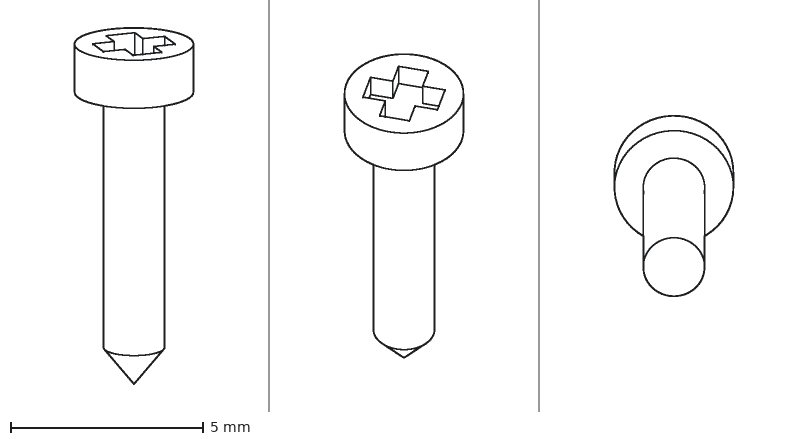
import cadquery as cq

TOTAL_LENGTH = 9.2
HEAD_DIAMETER = 3.1
HEAD_HEIGHT = 1.3
SHANK_DIAMETER = 1.6
TIP_LENGTH = 1.0

RECESS_SPAN = 2.0
RECESS_ARM_WIDTH = 0.8
RECESS_DEPTH = 0.6

HEAD_TOP_Z = HEAD_HEIGHT
TIP_Z = HEAD_TOP_Z - TOTAL_LENGTH
SHANK_END_Z = TIP_Z + TIP_LENGTH


def make_body():
    """Head, shank and conical tip, revolved about the Z axis."""
    head_radius = HEAD_DIAMETER / 2
    shank_radius = SHANK_DIAMETER / 2
    half_profile = [
        (0, TIP_Z),
        (shank_radius, SHANK_END_Z),
        (shank_radius, 0),
        (head_radius, 0),
        (head_radius, HEAD_TOP_Z),
        (0, HEAD_TOP_Z),
    ]
    return cq.Workplane("XZ").polyline(half_profile).close().revolve(360, (0, 0), (0, 1))


def make_recess():
    """Two crossed slots, sunk from the top of the head."""
    top = cq.Workplane("XY").workplane(offset=HEAD_TOP_Z)
    slot_x = top.rect(RECESS_SPAN, RECESS_ARM_WIDTH).extrude(-RECESS_DEPTH)
    slot_y = top.rect(RECESS_ARM_WIDTH, RECESS_SPAN).extrude(-RECESS_DEPTH)
    return slot_x.union(slot_y)


result = make_body().cut(make_recess())